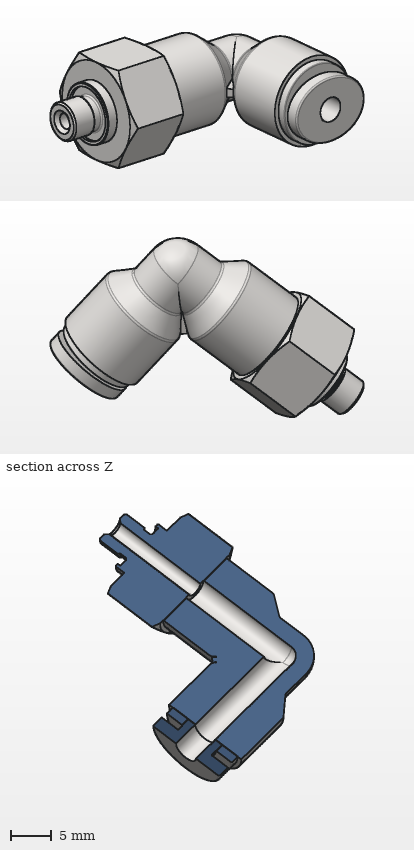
import cadquery as cq
import math


elbow_d = 7.75
barrel_d = 11.8
cone_start = 3.88
cone_end = 6.57
flare_fillet = 0.5
socket_arm_length = 14.42
stud_arm_length = 14.3
passage_d = 3.2
web_thickness = 1.08
web_near = 5.83
web_far = 6.4

collar_d = 10.6
collar_thickness = 1.1
collar_fillet = 0.1
neck_d = 5.5
flange_width = 10.85
flange_height = 8.55
flange_fillet = 0.2
flange_gap = 0.78
flange_thickness = 1.7

hex_flats = 13.0
hex_length = 8.05
hex_chamfer_d = 12.97
hex_chamfer_angle = 22.0
seat_d = 8.0
seat_length = 1.45
seat_chamfer = 0.1
seat_recess_d = 7.0
seat_recess_depth = 0.4
relief_d = 4.5
relief_length = 0.75
relief_fillet = 0.2
thread_d = 5.0
thread_lead_in = 0.15
thread_length = 3.27
stud_bore_d = 2.0
countersink_d = 3.0


def x_revolve(profile):
    """Solid turned about the X axis from (x, radius) points."""
    return cq.Workplane("XY").polyline(profile).close().revolve(360, (0, 0, 0), (1, 0, 0))


def x_cylinder(diameter, start, end):
    return cq.Workplane("YZ", origin=(start, 0, 0)).circle(diameter / 2).extrude(end - start)


def to_stud_axis(shape):
    """Swing a part built along +X round to the -Y axis."""
    return shape.rotate((0, 0, 0), (0, 0, 1), -90)


def make_arm(length):
    """Pipe flaring into a barrel, along +X from the elbow corner."""
    arm = x_revolve([
        (0, 0),
        (0, elbow_d / 2),
        (cone_start, elbow_d / 2),
        (cone_end, barrel_d / 2),
        (length, barrel_d / 2),
        (length, 0),
    ])
    margin = 0.05
    flare_ends = cq.selectors.BoxSelector(
        (cone_start - margin, -margin, -margin), (cone_end + margin, margin, margin)
    )
    return arm.edges("%CIRCLE").edges(flare_ends).fillet(flare_fillet)


def make_housing():
    web = (
        cq.Workplane("XY", origin=(0, 0, -web_thickness / 2))
        .polyline([(0, 0), (web_near, -web_far), (web_far, -web_near)])
        .close()
        .extrude(web_thickness)
    )
    outside = (
        make_arm(socket_arm_length)
        .union(to_stud_axis(make_arm(stud_arm_length)))
        .union(cq.Workplane("XY").sphere(elbow_d / 2))
        .union(web)
    )
    passage = (
        x_cylinder(passage_d, 0, socket_arm_length)
        .union(to_stud_axis(x_cylinder(passage_d, 0, stud_arm_length)))
        .union(cq.Workplane("XY").sphere(passage_d / 2))
    )
    return outside.cut(passage)


def make_collar():
    collar_end = socket_arm_length + collar_thickness
    ring = x_cylinder(collar_d, socket_arm_length, collar_end).faces(">X").edges().fillet(collar_fillet)
    return ring.cut(x_cylinder(neck_d, socket_arm_length, collar_end))


def make_button():
    """Oval flange on a round neck that passes through the collar."""
    flange_start = socket_arm_length + collar_thickness + flange_gap
    flange_end = flange_start + flange_thickness
    flange = (
        cq.Workplane("YZ", origin=(flange_start, 0, 0))
        .ellipse(flange_width / 2, flange_height / 2)
        .extrude(flange_thickness)
        .faces(">X")
        .edges()
        .fillet(flange_fillet)
    )
    neck = x_cylinder(neck_d, socket_arm_length, flange_start)
    return flange.union(neck).cut(x_cylinder(passage_d, socket_arm_length, flange_end))


def make_hex():
    """Hexagon along +X with its corners chamfered at both ends."""
    corner_d = hex_flats / math.cos(math.pi / 6)
    chamfer_length = (corner_d - hex_chamfer_d) / 2 * math.tan(math.radians(hex_chamfer_angle))
    start = stud_arm_length
    end = start + hex_length
    prism = cq.Workplane("YZ", origin=(start, 0, 0)).polygon(6, corner_d).extrude(hex_length)
    turned_blank = x_revolve([
        (start, 0),
        (start, hex_chamfer_d / 2),
        (start + chamfer_length, corner_d / 2),
        (end - chamfer_length, corner_d / 2),
        (end, hex_chamfer_d / 2),
        (end, 0),
    ])
    return prism.intersect(turned_blank)


def make_stud():
    hex_end = stud_arm_length + hex_length
    seat_end = hex_end + seat_length
    recess_floor = seat_end - seat_recess_depth
    thread_start = seat_end + relief_length
    thread_end = thread_start + thread_length
    thread_chamfer = (thread_d - relief_d) / 2
    countersink_depth = (countersink_d - stud_bore_d) / 2

    seat = x_cylinder(seat_d, hex_end, seat_end).faces(">X").edges().chamfer(seat_chamfer)
    recess = x_cylinder(seat_recess_d, recess_floor, seat_end)
    spigot = (
        cq.Workplane("XY")
        .moveTo(recess_floor, 0)
        .lineTo(recess_floor, relief_d / 2 + relief_fillet)
        .radiusArc((recess_floor + relief_fillet, relief_d / 2), -relief_fillet)
        .lineTo(thread_start, relief_d / 2)
        .lineTo(thread_start + thread_lead_in, thread_d / 2)
        .lineTo(thread_end - thread_chamfer, thread_d / 2)
        .lineTo(thread_end, relief_d / 2)
        .lineTo(thread_end, 0)
        .close()
        .revolve(360, (0, 0, 0), (1, 0, 0))
    )
    countersink = x_revolve([
        (thread_end - countersink_depth, 0),
        (thread_end - countersink_depth, stud_bore_d / 2),
        (thread_end, countersink_d / 2),
        (thread_end, 0),
    ])
    bore = x_cylinder(stud_bore_d, stud_arm_length, thread_end)
    stud = make_hex().union(seat).cut(recess).union(spigot).cut(bore).cut(countersink)
    return to_stud_axis(stud)


housing = make_housing()
collar = make_collar()
button = make_button()
stud = make_stud()

result = cq.Compound.makeCompound([housing.val(), collar.val(), button.val(), stud.val()])